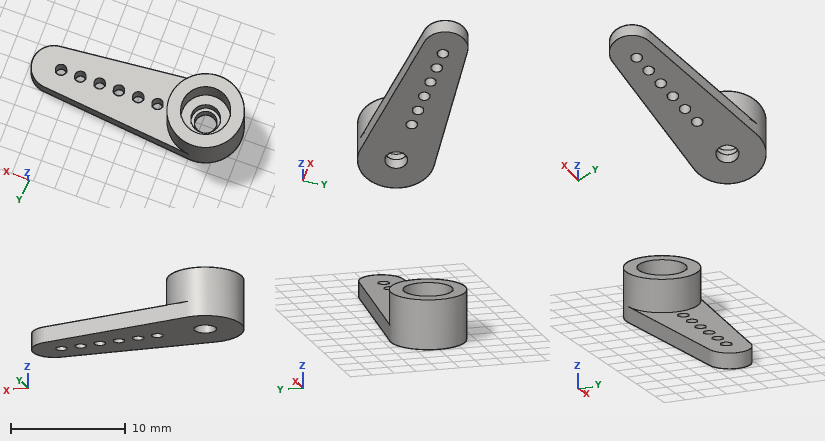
import cadquery as cq
import math

length = 19.6
hub_diameter = 6.8
hub_height = 4.55

arm_thickness = 1.47
tip_radius = 2.0
hub_radius = hub_diameter / 2
tip_x = length - hub_radius - tip_radius

socket_diameter = 4.4
socket_depth = 2.45
recess_diameter = 2.6
recess_depth = 1.0
screw_hole_diameter = 2.0

link_hole_diameter = 1.0
link_hole_count = 6
first_link_hole_x = 4.5
link_hole_pitch = 1.8


def make_arm():
    """Tapered plate whose straight sides are tangent to the hub and to the rounded tip."""
    sine = (hub_radius - tip_radius) / tip_x
    cosine = math.sqrt(1 - sine**2)
    hub_tangent = (hub_radius * sine, hub_radius * cosine)
    tip_tangent = (tip_x + tip_radius * sine, tip_radius * cosine)
    return (
        cq.Workplane("XY")
        .moveTo(hub_tangent[0], -hub_tangent[1])
        .lineTo(tip_tangent[0], -tip_tangent[1])
        .threePointArc((tip_x + tip_radius, 0), tip_tangent)
        .lineTo(*hub_tangent)
        .threePointArc((-hub_radius, 0), (hub_tangent[0], -hub_tangent[1]))
        .close()
        .extrude(arm_thickness)
    )


def make_hub():
    return cq.Workplane("XY").circle(hub_radius).extrude(hub_height)


def make_bore():
    """Socket open at the top, a smaller recess in its floor, and a through screw hole."""
    socket_floor = hub_height - socket_depth
    recess_floor = socket_floor - recess_depth
    socket = cq.Workplane("XY", origin=(0, 0, socket_floor)).circle(socket_diameter / 2).extrude(socket_depth)
    recess = cq.Workplane("XY", origin=(0, 0, recess_floor)).circle(recess_diameter / 2).extrude(recess_depth)
    screw_hole = cq.Workplane("XY").circle(screw_hole_diameter / 2).extrude(hub_height)
    return socket.union(recess).union(screw_hole)


def make_link_holes():
    positions = [(first_link_hole_x + i * link_hole_pitch, 0) for i in range(link_hole_count)]
    return cq.Workplane("XY").pushPoints(positions).circle(link_hole_diameter / 2).extrude(arm_thickness)


result = make_arm().cut(make_link_holes()).union(make_hub()).cut(make_bore())